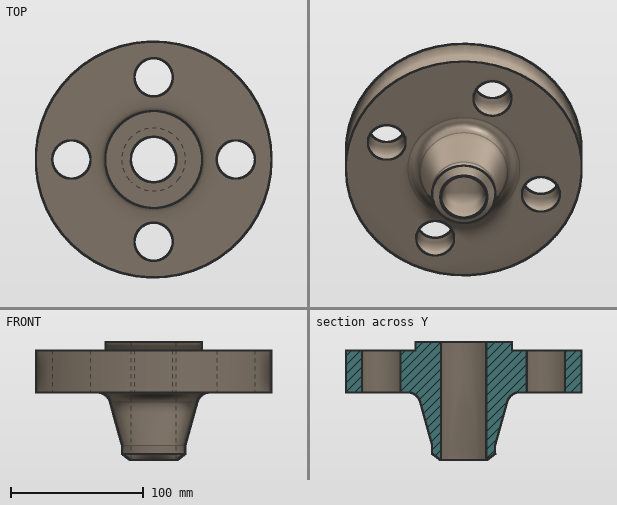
import cadquery as cq
import math

flange_diameter = 177.8
flange_thickness = 31.75
raised_face_diameter = 73.0
raised_face_height = 6.35
overall_height = 88.9
bore_diameter = 34.0

bolt_count = 4
bolt_circle_diameter = 123.8
bolt_hole_diameter = 28.6

hub_base_diameter = 69.85
pipe_diameter = 47.75
pipe_length = 6.35
hub_fillet_radius = 9.5
bevel_angle = 37.5
weld_land_width = 0.8

face_z = overall_height
flange_top_z = face_z - raised_face_height
flange_bottom_z = flange_top_z - flange_thickness
bevel_width = (pipe_diameter - bore_diameter) / 2 - weld_land_width
bevel_height = bevel_width * math.tan(math.radians(bevel_angle))
pipe_top_z = bevel_height + pipe_length


def make_body():
    """Revolve the solid half profile of flange, hub and weld end about Z."""
    profile = (
        cq.Workplane("XZ")
        .moveTo(0, 0)
        .lineTo(pipe_diameter / 2 - bevel_width, 0)
        .lineTo(pipe_diameter / 2, bevel_height)
        .lineTo(pipe_diameter / 2, pipe_top_z)
        .lineTo(hub_base_diameter / 2, flange_bottom_z)
        .lineTo(flange_diameter / 2, flange_bottom_z)
        .lineTo(flange_diameter / 2, flange_top_z)
        .lineTo(raised_face_diameter / 2, flange_top_z)
        .lineTo(raised_face_diameter / 2, face_z)
        .lineTo(0, face_z)
        .close()
    )
    return profile.revolve(360, (0, 0, 0), (0, 1, 0))


def fillet_hub(body):
    """Round the inside corner where the hub meets the flange."""
    margin = 0.5
    half_width = hub_base_diameter / 2 + margin
    corner_box = cq.selectors.BoxSelector(
        (-half_width, -half_width, flange_bottom_z - margin),
        (half_width, half_width, flange_bottom_z + margin),
        boundingbox=True,
    )
    return body.edges("%CIRCLE").edges(corner_box).fillet(hub_fillet_radius)


def cut_holes(body):
    """Drill the central bore and the bolt holes right through."""
    bored = body.faces(">Z").workplane(origin=(0, 0, face_z)).hole(bore_diameter)
    bolt_holes = (
        cq.Workplane("XY")
        .polarArray(bolt_circle_diameter / 2, 0, 360, bolt_count)
        .circle(bolt_hole_diameter / 2)
        .extrude(overall_height)
    )
    return bored.cut(bolt_holes)


result = cut_holes(fillet_hub(make_body()))